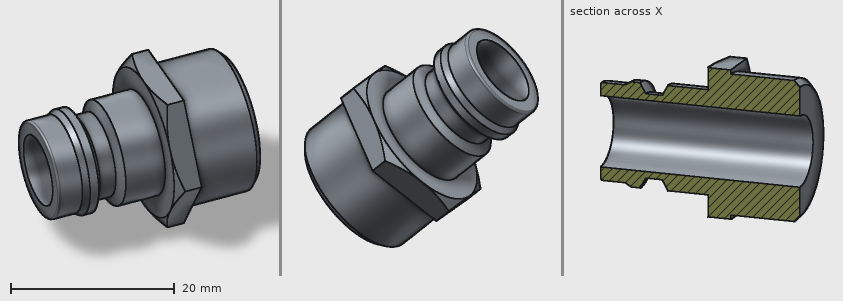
import cadquery as cq
import math

total_length = 26.0
collar_start = 3.2
collar_full_start = 4.03
collar_full_end = 5.17
neck_start = 5.9
neck_end = 8.0
shank_start = 8.75
hex_start = 14.0
hex_end = 17.0

hex_across_flats = 19.0
bore_diameter = 9.0
nose_diameter = 12.5
shank_diameter = 13.45
neck_diameter = 10.8
rear_diameter = 18.0

nose_fillet = 0.29
rear_chamfer = 0.78
hex_chamfer_angle = 30.0


def revolve_about_y(points):
    """Revolve a closed (radius, y) outline around the part axis."""
    return cq.Workplane("XY").polyline(points).close().revolve(360, (0, 0, 0), (0, 1, 0))


def cylinder_along_y(diameter, start, end):
    return cq.Workplane("XZ", origin=(0, start, 0)).circle(diameter / 2).extrude(start - end)


def make_plug():
    """Stepped plug with its collar and locking groove."""
    nose = nose_diameter / 2
    shank = shank_diameter / 2
    neck = neck_diameter / 2
    plug = revolve_about_y([
        (0, 0),
        (nose, 0),
        (nose, collar_start),
        (shank, collar_full_start),
        (shank, collar_full_end),
        (neck, neck_start),
        (neck, neck_end),
        (shank, shank_start),
        (shank, hex_start),
        (0, hex_start),
    ])
    return plug.faces("<Y").edges().fillet(nose_fillet)


def make_hexagon():
    """Hexagon with corners on X, its front corners cut by a cone."""
    corner_diameter = hex_across_flats / math.cos(math.radians(30))
    prism = (
        cq.Workplane("XZ", origin=(0, hex_start, 0))
        .polygon(6, corner_diameter)
        .extrude(hex_start - hex_end)
    )
    corner_radius = corner_diameter / 2
    face_radius = hex_across_flats / 2
    chamfer_depth = (corner_radius - face_radius) * math.tan(math.radians(hex_chamfer_angle))
    envelope = revolve_about_y([
        (0, hex_start),
        (face_radius, hex_start),
        (corner_radius, hex_start + chamfer_depth),
        (corner_radius, hex_end),
        (0, hex_end),
    ])
    return prism.intersect(envelope)


def make_rear_body():
    body = cylinder_along_y(rear_diameter, hex_end, total_length)
    return body.faces(">Y").chamfer(rear_chamfer)


bore = cylinder_along_y(bore_diameter, 0, total_length)
result = make_plug().union(make_hexagon()).union(make_rear_body()).cut(bore)